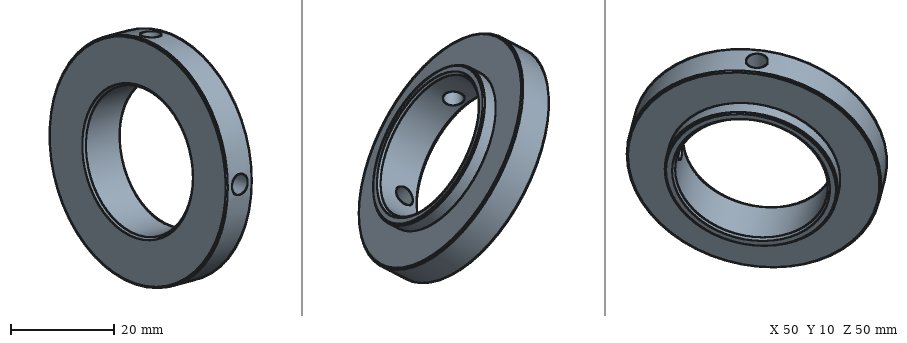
import cadquery as cq

flange_diameter = 50.0
flange_thickness = 7.0
hub_diameter = 34.0
hub_length = 3.0
bore_diameter = 30.0
bore_chamfer = 0.5
edge_chamfer = 0.3
screw_hole_diameter = 4.2

total_length = flange_thickness + hub_length
screw_hole_y = flange_thickness / 2


def disc(diameter, start_y, length):
    """Solid cylinder on the ring axis, growing towards +Y."""
    plane = cq.Plane(origin=(0, start_y, 0), xDir=(1, 0, 0), normal=(0, 1, 0))
    return cq.Workplane(plane).circle(diameter / 2).extrude(length)


def screw_hole(direction):
    """Radial cutter from the ring axis outwards through one wall."""
    start = cq.Vector(0, screw_hole_y, 0)
    return cq.Workplane(
        cq.Solid.makeCylinder(screw_hole_diameter / 2, flange_diameter, start, direction)
    )


flange = disc(flange_diameter, 0, flange_thickness).edges().chamfer(edge_chamfer)
hub = disc(hub_diameter, 0, total_length).faces(">Y").edges().chamfer(edge_chamfer)
result = flange.union(hub)

result = result.cut(disc(bore_diameter, 0, total_length))
bore_edges = cq.selectors.RadiusNthSelector(0)
result = result.faces("<Y or >Y").edges(bore_edges).chamfer(bore_chamfer)

for direction in (cq.Vector(0, 0, 1), cq.Vector(1, 0, 0)):
    result = result.cut(screw_hole(direction))